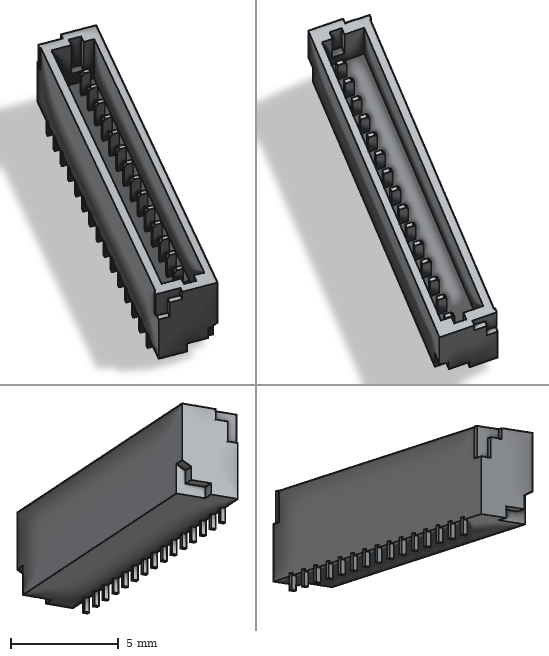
import cadquery as cq

LENGTH = 17.0
DEPTH = 2.9
HEIGHT = 4.25

CONTACT_COUNT = 15
PITCH = 1.0
CONTACT_WIDTH = 0.2
FRONT_PROJECTION = 0.06

END_WALL = 0.79
REAR_WALL = 0.38
FRONT_WALL = 0.42
FLOOR = 1.5

KEYWAY_DEPTH = 0.36
KEYWAY_WIDTH = 0.6
KEYWAY_Y = 1.7
KEYWAY_DROP = 2.0

CORNER_CUT = 0.26
CORNER_UPPER_REACH = 1.16
CORNER_LOWER_REACH = 0.54
CORNER_UPPER_DROP = 0.52
CORNER_DROP = 1.5
CORNER_RIB_WIDTH = 0.22

RECESS_LENGTH = 0.6
RECESS_LOWER_REACH = 1.5
RECESS_UPPER_REACH = 0.47
RECESS_STEP_HEIGHT = 0.55
RECESS_SLOPE_START = 1.2
RECESS_SLOPE_END = 1.45

POST_REAR_Y = 2.06
POST_THICKNESS = 0.45
POST_TOP = 3.0
POST_BEVEL_WIDTH = 0.12
POST_BEVEL_HEIGHT = 0.2

TAIL_THICKNESS = 0.24
TAIL_TOP = 0.12
TAIL_DROP = 0.7


def block(x_min, x_max, y_min, y_max, z_min, z_max):
    """Axis-aligned box between the given limits."""
    size = (x_max - x_min, y_max - y_min, z_max - z_min)
    return cq.Workplane("XY").box(*size, centered=False).translate((x_min, y_min, z_min))


def side_profile(points, x_start, length):
    """Prism with a (y, z) outline, running in +X from x_start."""
    return cq.Workplane("YZ", origin=(x_start, 0, 0)).polyline(points).close().extrude(length)


def on_both_ends(left_shape):
    """The given left-hand shape together with its mirror image at the right end."""
    return left_shape.union(left_shape.mirror("YZ"))


def make_cavity():
    half_length = LENGTH / 2 - END_WALL
    cavity = block(-half_length, half_length, FRONT_WALL, DEPTH - REAR_WALL, FLOOR, HEIGHT)
    keyway_half_length = half_length + KEYWAY_DEPTH
    keyway_y_min = KEYWAY_Y - KEYWAY_WIDTH / 2
    keyway_y_max = KEYWAY_Y + KEYWAY_WIDTH / 2
    keyway_floor = HEIGHT - KEYWAY_DROP
    keyways = block(-keyway_half_length, keyway_half_length, keyway_y_min, keyway_y_max, keyway_floor, HEIGHT)
    return cavity.union(keyways)


def make_corner_cut():
    outline = [
        (0, HEIGHT),
        (CORNER_UPPER_REACH, HEIGHT),
        (CORNER_UPPER_REACH, HEIGHT - CORNER_UPPER_DROP),
        (CORNER_LOWER_REACH, HEIGHT - CORNER_UPPER_DROP),
        (CORNER_LOWER_REACH, HEIGHT - CORNER_DROP),
        (0, HEIGHT - CORNER_DROP),
    ]
    return side_profile(outline, -LENGTH / 2, CORNER_CUT)


def make_corner_rib():
    x_min = -LENGTH / 2 + CORNER_CUT
    x_max = x_min + CORNER_RIB_WIDTH
    return block(x_min, x_max, -FRONT_PROJECTION, FRONT_WALL, HEIGHT - CORNER_DROP, HEIGHT)


def make_rear_recess():
    outline = [
        (DEPTH, 0),
        (DEPTH - RECESS_LOWER_REACH, 0),
        (DEPTH - RECESS_LOWER_REACH, RECESS_STEP_HEIGHT),
        (DEPTH - RECESS_UPPER_REACH, RECESS_STEP_HEIGHT),
        (DEPTH - RECESS_UPPER_REACH, RECESS_SLOPE_START),
        (DEPTH, RECESS_SLOPE_END),
    ]
    return side_profile(outline, -LENGTH / 2, RECESS_LENGTH)


def make_housing():
    body = block(-LENGTH / 2, LENGTH / 2, 0, DEPTH, 0, HEIGHT)
    body = body.cut(make_cavity())
    body = body.cut(on_both_ends(make_corner_cut()))
    body = body.cut(on_both_ends(make_rear_recess()))
    return body.union(on_both_ends(make_corner_rib()))


def make_post(x_min):
    front_y = POST_REAR_Y - POST_THICKNESS
    outline = [
        (front_y, FLOOR),
        (POST_REAR_Y, FLOOR),
        (POST_REAR_Y, POST_TOP),
        (front_y + POST_BEVEL_WIDTH, POST_TOP),
        (front_y, POST_TOP - POST_BEVEL_HEIGHT),
    ]
    return side_profile(outline, x_min, CONTACT_WIDTH)


def make_tail(x_min):
    y_min = -FRONT_PROJECTION
    return block(x_min, x_min + CONTACT_WIDTH, y_min, y_min + TAIL_THICKNESS, -TAIL_DROP, TAIL_TOP)


result = make_housing()
first_contact_x = -PITCH * (CONTACT_COUNT - 1) / 2
for index in range(CONTACT_COUNT):
    contact_x_min = first_contact_x + index * PITCH - CONTACT_WIDTH / 2
    result = result.union(make_post(contact_x_min)).union(make_tail(contact_x_min))